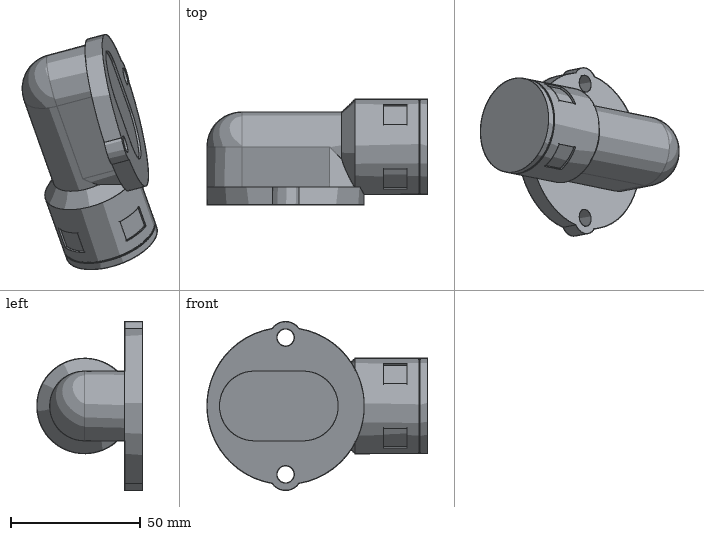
import cadquery as cq
import math

length = 85.5
depth = 41.0

flange_radius = 61.0 / 2
flange_thickness = 7.0
ear_radius = 6.2
screw_offset = 26.5
screw_diameter = 6.6

tube_radius = 13.5

recess_start = 4.9
recess_length = 46.0
recess_depth = 0.85

socket_radius = 37.0 / 2
cone_start = 52.2
socket_start = 57.45
groove_radius = 36.0 / 2
groove_start = 82.2
groove_width = 0.4

window_start = 68.4
window_length = 9.1
window_width = 10.95
window_depth = 0.85
window_count = 4
first_window_angle = 45.0

axis_y = depth - socket_radius
flange_center_x = flange_radius
body_length = 2 * flange_radius


def disc_along_y(x, z, radius, height):
    """Cylinder standing on the mounting face at y = 0."""
    return cq.Workplane("XZ").center(x, z).circle(radius).extrude(-height)


def stadium_along_y(start_x, total_length, height):
    """Round-ended block standing on the mounting face, as wide as the tube."""
    return (
        cq.Workplane("XZ")
        .center(start_x + total_length / 2, 0)
        .slot2D(total_length, 2 * tube_radius)
        .extrude(-height)
    )


def cylinder_along_x(start_x, cylinder_length, radius):
    """Cylinder on the tube axis."""
    return (
        cq.Workplane("YZ", origin=(start_x, axis_y, 0))
        .circle(radius)
        .extrude(cylinder_length)
    )


def make_flange():
    flange = disc_along_y(flange_center_x, 0, flange_radius, flange_thickness)
    for side in (-1, 1):
        ear = disc_along_y(flange_center_x, side * screw_offset, ear_radius, flange_thickness)
        flange = flange.union(ear)
    return flange


def make_turned_body():
    """Domed tube, cone and grooved socket, turned as one about the tube axis."""
    groove_end = groove_start + groove_width
    dome_offset = tube_radius * math.sqrt(0.5)
    profile = (
        cq.Workplane("XY")
        .moveTo(0, 0)
        .threePointArc((tube_radius - dome_offset, dome_offset), (tube_radius, tube_radius))
        .lineTo(cone_start, tube_radius)
        .lineTo(socket_start, socket_radius)
        .lineTo(groove_start, socket_radius)
        .lineTo(groove_start, groove_radius)
        .lineTo(groove_end, groove_radius)
        .lineTo(groove_end, socket_radius)
        .lineTo(length, socket_radius)
        .lineTo(length, 0)
        .close()
    )
    return profile.revolve(360, (0, 0, 0), (1, 0, 0)).translate((0, axis_y, 0))


def make_windows():
    """Cutters that sink each window to a floor concentric with the socket."""
    core = cylinder_along_x(window_start, window_length, socket_radius - window_depth)
    block = (
        cq.Workplane("XY")
        .box(window_length, 2 * socket_radius, window_width, centered=(False, False, True))
        .translate((window_start, axis_y, 0))
        .cut(core)
    )
    axis_from = (0, axis_y, 0)
    axis_to = (1, axis_y, 0)
    step = 360 / window_count
    return [
        block.rotate(axis_from, axis_to, first_window_angle + i * step)
        for i in range(window_count)
    ]


elbow_base = stadium_along_y(0, body_length, axis_y)
result = make_flange().union(elbow_base).union(make_turned_body())

for window in make_windows():
    result = result.cut(window)

result = result.cut(stadium_along_y(recess_start, recess_length, recess_depth))

for side in (-1, 1):
    hole = disc_along_y(flange_center_x, side * screw_offset, screw_diameter / 2, flange_thickness)
    result = result.cut(hole)